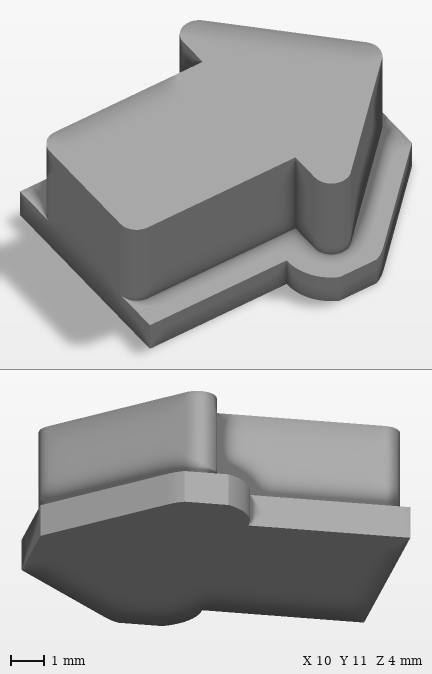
import cadquery as cq
import math

head_y = 6.0
tip_y = 11.0
shaft_half_width = 2.5
corner_radius = 0.6
arrow_height = 3.0

margin = 1.0
base_thickness = 1.0
base_width = 10.0
base_length = 11.0


def sharp_arrow(grow, height):
    """Arrow prism with 45 degree flanks and its sides moved outward by grow; the tail stays on Y = 0."""
    half_shaft = shaft_half_width + grow
    wing_y = head_y - grow
    point_y = tip_y + grow * math.sqrt(2)
    half_head = point_y - wing_y
    return (
        cq.Workplane("XY")
        .polyline([
            (-half_shaft, 0),
            (half_shaft, 0),
            (half_shaft, wing_y),
            (half_head, wing_y),
            (0, point_y),
            (-half_head, wing_y),
            (-half_shaft, wing_y),
        ])
        .close()
        .extrude(height)
    )


def make_base():
    """Grown arrow with rounded wings, trimmed flat at the sides and the point."""
    plate = sharp_arrow(margin, base_thickness)
    plate = plate.edges("|Z and (<X or >X)").fillet(corner_radius + margin)
    trim = cq.Workplane("XY").box(base_width, base_length, base_thickness, centered=(True, False, False))
    return plate.intersect(trim)


def make_arrow():
    """Arrow standing on the base, rounded at the tail, wings and point."""
    arrow = sharp_arrow(0, arrow_height)
    arrow = arrow.edges("|Z and (<X or >X or <Y or >Y)").fillet(corner_radius)
    return arrow.translate((0, 0, base_thickness))


result = make_base().union(make_arrow())